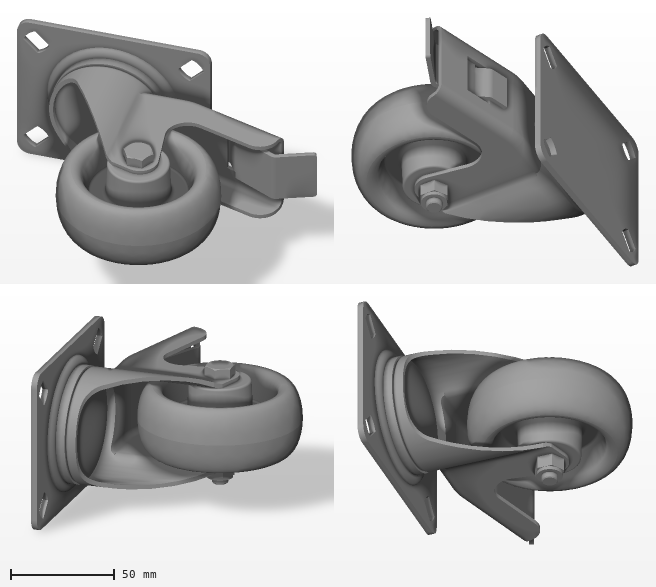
import cadquery as cq
import math


overall_length = 158.5

plate_length = 97.0
plate_width = 80.0
plate_thickness = 3.0
plate_corner_radius = 6.3
slot_offset_x = 38.8
slot_offset_z = 28.8
slot_width = 8.5
slot_side_length = 10.0
slot_end_bulge = 1.0
dish_radius = 33.5
dish_height = 2.7
dish_edge_radius = 4.5

sheet = 2.0
collar_radius = 29.0
collar_bottom = -10.1
crown_edge_radius = 2.2
crown_radius = 28.7
arm_half_width = 21.9
arm_bend_radius = 4.8
web_top = -14.3
web_start = 17.5
web_edge_radius = 4.9
web_bend_x = 43.7
web_bend_radius = 27.0
brake_slope = math.radians(17.0)
fork_tip_x = 93.5
neck_end = 31.7
fork_depth = 79.2
crown_lip = -15.7
crown_lip_end_x = -16.8
crown_lip_radius = 15.8
arm_foot_start = (16.3, -70.5)
arm_foot_bend = (20.0, -73.5)
arm_foot_corner = (43.6, -81.0)
arm_foot_radius = 9.0
throat_x = 36.1
throat_radius = 11.1
tip_length = 16.0
tip_radius = 9.5
tip_overrun = 8.0

axle_x = 31.9
axle_y = -68.0
wheel_radius = 40.0
tyre_half_width = 16.5
tyre_crest_radius = 32.7
rim_round_radius = 5.4
rim_round_start = (27.5, 12.7)
rim_foot_radius = 24.3
disc_radius = 23.1
disc_half_width = 1.7
hub_foot_radius = 17.8
hub_base_radius = 15.8
hub_base_half_width = 3.6
hub_radius = 15.2
hub_edge_radius = 1.1
shank_radius = 4.0
hex_flats = 13.0
head_height = 5.2
head_top_radius = 6.3
head_chamfer_height = 0.6
nut_height = 6.5
nut_collar_radius = 6.3
nut_collar_height = 1.7
stub_length = 3.0
stub_chamfer = 0.5

pedal_thickness = 2.4
pedal_half_width = 12.7
pedal_corner_radius = 1.6
tongue_half_width = 9.2
tongue_start_x = 54.8
tongue_gap = 0.3
tongue_bend_x = 65.1
pedal_heel = (69.5, -24.4)
pedal_bend = (90.3, -34.5)
pedal_end_x = overall_length - plate_length / 2
pedal_tip_slope = math.radians(22.0)
bend_radius = 1.6
window_half_width = 11.0
window_start_x = 63.0
window_end_x = 77.0

fork_tip_y = web_top - (fork_tip_x - web_bend_x) * math.tan(brake_slope)
collar_top = -plate_thickness - dish_height
arm_inner_face = arm_half_width - sheet


def rounded_outline(corners):
    """Closed XY outline from (x, y, radius) corners; each corner is rounded by its radius."""
    outline = None
    for i, (x, y, radius) in enumerate(corners):
        corner = cq.Vector(x, y)
        before = (cq.Vector(*corners[i - 1][:2]) - corner).normalized()
        after = (cq.Vector(*corners[(i + 1) % len(corners)][:2]) - corner).normalized()
        half_angle = before.getAngle(after) / 2
        reach = radius / math.tan(half_angle)
        first = corner + before * reach
        if outline is None:
            outline = cq.Workplane("XY").moveTo(first.x, first.y)
        else:
            outline = outline.lineTo(first.x, first.y)
        if radius > 0:
            depth = radius / math.sin(half_angle) - radius
            middle = corner + (before + after).normalized() * depth
            last = corner + after * reach
            outline = outline.threePointArc((middle.x, middle.y), (last.x, last.y))
    return outline.close()


def slab(corners, half_width):
    """Rounded outline extruded to both sides of the plane Z = 0."""
    return rounded_outline(corners).extrude(half_width, both=True)


def cylinder_y(radius, top, bottom):
    """Cylinder about the swivel axis."""
    return cq.Workplane("XZ", origin=(0, top, 0)).circle(radius).extrude(top - bottom)


def rod(radius, base_z, height):
    """Cylinder about the wheel axis."""
    return cq.Workplane("XY", origin=(axle_x, axle_y, base_z)).circle(radius).extrude(height)


def plate_slot(side_x, side_z):
    half_length = slot_side_length / 2
    half_width = slot_width / 2
    end = half_length + slot_end_bulge
    turn = -45 * side_x * side_z
    return (
        cq.Workplane("XZ")
        .moveTo(-half_length, -half_width)
        .lineTo(half_length, -half_width)
        .threePointArc((end, 0), (half_length, half_width))
        .lineTo(-half_length, half_width)
        .threePointArc((-end, 0), (-half_length, -half_width))
        .close()
        .extrude(plate_thickness)
        .rotate((0, 0, 0), (0, 1, 0), turn)
        .translate((side_x * slot_offset_x, 0, side_z * slot_offset_z))
    )


def make_plate():
    plate = (
        cq.Workplane("XZ")
        .rect(plate_length, plate_width)
        .extrude(plate_thickness)
        .edges("|Y")
        .fillet(plate_corner_radius)
    )
    for side_x in (-1, 1):
        for side_z in (-1, 1):
            plate = plate.cut(plate_slot(side_x, side_z))
    dish = (
        cq.Workplane("XY")
        .moveTo(0, -plate_thickness)
        .lineTo(dish_radius, -plate_thickness)
        .radiusArc((collar_radius, collar_top), dish_edge_radius)
        .lineTo(0, collar_top)
        .close()
        .revolve(360, (0, 0, 0), (0, 1, 0))
    )
    return plate.union(dish)


def neck(inset):
    """Crown wall running into two parallel arms, seen along Y; inset by a sheet for the inside."""
    radius = crown_radius - inset
    half_width = arm_half_width - inset
    bend = arm_bend_radius + inset
    bend_z = half_width + bend
    bend_x = math.sqrt((radius + bend) ** 2 - bend_z**2)
    wall_x = bend_x * radius / (radius + bend)
    wall_z = bend_z * radius / (radius + bend)
    half_turn = math.atan2(bend_x, bend_z) / 2
    mid_x = bend_x - bend * math.sin(half_turn)
    mid_z = bend_z - bend * math.cos(half_turn)
    top = web_top - web_edge_radius
    return (
        cq.Workplane("XZ", origin=(0, top, 0))
        .moveTo(neck_end, half_width)
        .lineTo(bend_x, half_width)
        .threePointArc((mid_x, mid_z), (wall_x, wall_z))
        .threePointArc((-radius, 0), (wall_x, -wall_z))
        .threePointArc((mid_x, -mid_z), (bend_x, -half_width))
        .lineTo(neck_end, -half_width)
        .close()
        .extrude(fork_depth + top)
    )


def channel(inset, overrun):
    """Arms and sloping web as a solid bar with rounded upper edges."""
    end_x = fork_tip_x + overrun
    slant = inset / math.cos(brake_slope)
    end_y = fork_tip_y - overrun * math.tan(brake_slope) - slant
    bend_x = web_bend_x - inset * math.tan(brake_slope / 2)
    bar = slab(
        [
            (web_start, -fork_depth, 0),
            (web_start, web_top - inset, 0),
            (bend_x, web_top - inset, web_bend_radius - inset),
            (end_x, end_y, 0),
            (end_x, -fork_depth, 0),
        ],
        arm_half_width - inset,
    )
    upper_edges = cq.selectors.BoxSelector(
        (web_start, end_y, -fork_depth), (end_x, web_top, fork_depth)
    )
    return bar.edges(upper_edges).edges("not |Z").fillet(web_edge_radius - inset)


def fork_side_outline():
    tip_bottom_x = fork_tip_x - tip_length * math.sin(brake_slope)
    tip_bottom_y = fork_tip_y - tip_length * math.cos(brake_slope)
    throat_y = tip_bottom_y + (tip_bottom_x - throat_x) * math.tan(brake_slope)
    return [
        (-collar_radius, 0, 0),
        (-collar_radius, crown_lip, 0),
        (crown_lip_end_x, crown_lip, crown_lip_radius),
        (*arm_foot_start, 0),
        (*arm_foot_bend, 0),
        (*arm_foot_corner, arm_foot_radius),
        (throat_x, throat_y, throat_radius),
        (tip_bottom_x, tip_bottom_y, tip_radius),
        (fork_tip_x, fork_tip_y, 0),
        (fork_tip_x, 0, 0),
    ]


def axle_hole():
    return rod(shank_radius, -arm_half_width, 2 * arm_half_width)


def brake_window():
    return (
        cq.Workplane("XY")
        .center((window_start_x + window_end_x) / 2, fork_tip_y)
        .rect(window_end_x - window_start_x, -fork_tip_y)
        .extrude(window_half_width, both=True)
    )


def make_fork():
    crown = cylinder_y(crown_radius, collar_bottom, -fork_depth)
    crown = crown.faces(">Y").edges().fillet(crown_edge_radius)
    outside = crown.union(neck(0)).union(channel(0, 0))
    inside = cylinder_y(crown_radius - sheet, collar_bottom - sheet, -fork_depth)
    inside = inside.union(neck(sheet)).union(channel(sheet, tip_overrun))
    shell = outside.cut(inside).intersect(slab(fork_side_outline(), arm_half_width * 2))
    collar = cylinder_y(collar_radius, collar_top, collar_bottom)
    return shell.union(collar).cut(axle_hole()).cut(brake_window())


def bent_strip(top_points, half_width):
    """Sheet strip whose upper face follows the given points."""
    points = [cq.Vector(*point) for point in top_points]
    down = []
    for start, end in zip(points, points[1:]):
        along = (end - start).normalized()
        down.append(cq.Vector(along.y, -along.x))
    upper = [(points[0].x, points[0].y, 0)]
    foot = points[0] + down[0] * pedal_thickness
    lower = [(foot.x, foot.y, 0)]
    for corner, down_before, down_after in zip(points[1:], down, down[1:]):
        mitre = (down_before + down_after).normalized()
        foot = corner + mitre * (pedal_thickness / mitre.dot(down_after))
        turns_up = down_before.cross(down_after).z > 0
        outer_radius = bend_radius + pedal_thickness
        upper.append((corner.x, corner.y, bend_radius if turns_up else outer_radius))
        lower.append((foot.x, foot.y, outer_radius if turns_up else bend_radius))
    foot = points[-1] + down[-1] * pedal_thickness
    upper.append((points[-1].x, points[-1].y, 0))
    lower.append((foot.x, foot.y, 0))
    return slab(upper + lower[::-1], half_width)


def above_web(x):
    """Point on the upper face of the tongue where it lies along the sloping web."""
    rise = (pedal_thickness + tongue_gap) / math.cos(brake_slope)
    return x, web_top - (x - web_bend_x) * math.tan(brake_slope) + rise


def make_pedal():
    tip_x = pedal_end_x - pedal_thickness * math.sin(pedal_tip_slope)
    tip_y = pedal_bend[1] + (tip_x - pedal_bend[0]) * math.tan(pedal_tip_slope)
    lever = bent_strip([pedal_heel, pedal_bend, (tip_x, tip_y)], pedal_half_width)
    lever = lever.faces(">X").edges("not |Z").fillet(pedal_corner_radius)
    mid_lever = ((pedal_heel[0] + pedal_bend[0]) / 2, (pedal_heel[1] + pedal_bend[1]) / 2)
    tongue = bent_strip(
        [above_web(tongue_start_x), above_web(tongue_bend_x), pedal_heel, mid_lever], tongue_half_width
    )
    return lever.union(tongue)


def make_wheel():
    foot_height = rim_foot_radius - disc_radius
    half_profile = (
        cq.Workplane("XY")
        .moveTo(wheel_radius, 0)
        .ellipseArc(wheel_radius - tyre_crest_radius, tyre_half_width, 0, 90)
        .radiusArc(rim_round_start, -rim_round_radius)
        .lineTo(rim_foot_radius, disc_half_width + foot_height)
        .radiusArc((disc_radius, disc_half_width), foot_height)
        .lineTo(hub_foot_radius, disc_half_width)
        .radiusArc((hub_base_radius, hub_base_half_width), hub_foot_radius - hub_base_radius)
        .lineTo(hub_radius, arm_inner_face - hub_edge_radius)
        .radiusArc((hub_radius - hub_edge_radius, arm_inner_face), -hub_edge_radius)
        .lineTo(shank_radius, arm_inner_face)
        .lineTo(shank_radius, 0)
        .close()
    )
    half_wheel = half_profile.revolve(360, (0, 0, 0), (0, 1, 0)).rotate((0, 0, 0), (1, 0, 0), 90)
    return half_wheel.union(half_wheel.mirror("XY")).translate((axle_x, axle_y, 0))


def hexagon(base_z, height, turn):
    corners = hex_flats / math.cos(math.pi / 6)
    return (
        cq.Workplane("XY")
        .polygon(6, corners)
        .extrude(height)
        .rotate((0, 0, 0), (0, 0, 1), turn)
        .translate((axle_x, axle_y, base_z))
    )


def make_axle():
    nut_bottom = -arm_half_width - nut_height
    collar_base = nut_bottom - nut_collar_height
    stub_end = collar_base - stub_length
    corner_radius = hex_flats / 2 / math.cos(math.pi / 6)
    dome = rod(corner_radius, arm_half_width, head_height)
    dome = dome.faces(">Z").chamfer(head_chamfer_height, corner_radius - head_top_radius)
    head = hexagon(arm_half_width, head_height, 0).intersect(dome)
    nut = hexagon(nut_bottom, nut_height, 90)
    collar = rod(nut_collar_radius, collar_base, nut_collar_height)
    shank = rod(shank_radius, stub_end, arm_half_width - stub_end).faces("<Z").chamfer(stub_chamfer)
    return head.union(shank).union(nut).union(collar)


plate = make_plate()
fork = make_fork()
pedal = make_pedal()
wheel = make_wheel()
axle = make_axle()

bodies = [plate, fork, pedal, wheel, axle]
result = cq.Compound.makeCompound([body.solids().val() for body in bodies])